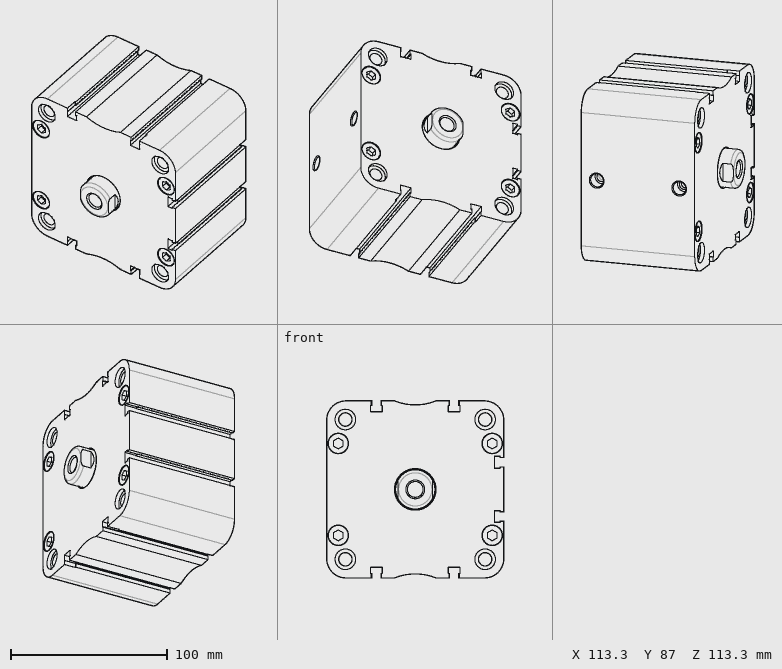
import cadquery as cq
import math

side = 113.3
half = side / 2
body_length = 77.0
rod_reach = 10.0
corner_radius = 12.5
body_front = -body_length / 2
body_back = body_length / 2
overcut = 1.1

hollow_half_width = 13.4
hollow_depth = 2.6

slot_mouth_width = 5.9
slot_undercut_width = 7.3
top_slot_offset = 24.8
top_slot_depth = 6.9
top_slot_lip = 3.1
side_slot_offset = 17.3
side_slot_depth = 5.9
side_slot_lip = 2.5

relief_length = 8.2
relief_width = 0.6

mount_offset = 44.6
mount_diameter = 8.4
mount_recess_diameter = 13.1
mount_recess_depth = 2.7

screw_x = 49.2
screw_z = 29.3
screw_hole_diameter = 13.1
screw_head_diameter = 12.7
screw_head_recess = 0.5
screw_gap_depth = 1.7
hex_across_flats = 6.0
hex_depth = 4.4

port_end_distance = 10.5
port_mouth_diameter = 10.0
port_diameter = 8.6
port_depth = 9.1
port_bore_diameter = 6.0
port_bore_depth = 12.5

rod_diameter = 25.0
rod_fillet = 1.9
rod_flat_half_width = 11.0
rod_flat_start = 2.7
rod_thread_diameter = 10.1
rod_thread_mouth_diameter = 12.0
rod_thread_depth = 20.4
drill_tip_angle = 118.0
wiper_diameter = 25.5
wiper_mouth_diameter = 26.6
wiper_depth = 2.3


def front_disc(diameter, depth, x=0.0, z=0.0):
    """A cylinder that reaches back from the front face."""
    return cq.Workplane("XZ", origin=(x, body_front, z)).circle(diameter / 2).extrude(-depth)


def cone_y(diameter_start, diameter_end, y_start, length):
    """A cone on the rod axis, running toward +Y."""
    start = cq.Vector(0, y_start, 0)
    axis = cq.Vector(0, 1, 0)
    return cq.Workplane(cq.Solid.makeCone(diameter_start / 2, diameter_end / 2, length, start, axis))


def make_block():
    block = cq.Workplane("XY").box(side, body_length, side).edges("|Y").fillet(corner_radius)
    hollow = (
        cq.Workplane("XZ", origin=(0, body_back, 0))
        .moveTo(-hollow_half_width, half)
        .threePointArc((0, half - hollow_depth), (hollow_half_width, half))
        .close()
        .extrude(body_length)
    )
    return block.cut(hollow).cut(hollow.mirror("XY"))


def slot_box(x_min, x_max, depth_min, depth_max, length):
    """A box below the upper face that starts at the front face."""
    box = cq.Workplane("XY").box(x_max - x_min, length, depth_max - depth_min, centered=False)
    return box.translate((x_min, body_front, half - depth_max))


def slot_cutter(center, depth, lip):
    mouth = slot_mouth_width / 2
    undercut = slot_undercut_width / 2
    cutter = slot_box(center - mouth, center + mouth, -overcut, depth, body_length)
    return cutter.union(slot_box(center - undercut, center + undercut, lip, depth, body_length))


def cut_slots(body):
    top_slot = slot_cutter(top_slot_offset, top_slot_depth, top_slot_lip)
    mouth_edge = top_slot_offset + slot_mouth_width / 2
    relief = slot_box(mouth_edge, mouth_edge + relief_width, -overcut, top_slot_lip, relief_length)
    top_slot = top_slot.union(relief)
    top_pair = top_slot.union(top_slot.mirror("YZ"))
    body = body.cut(top_pair).cut(top_pair.mirror("XY"))

    side_slot = slot_cutter(-side_slot_offset, side_slot_depth, side_slot_lip)
    undercut = (slot_undercut_width + relief_width) / 2
    x_min = -side_slot_offset - undercut
    x_max = -side_slot_offset + undercut
    relief = slot_box(x_min, x_max, side_slot_lip, side_slot_depth, relief_length)
    side_slot = side_slot.union(relief).rotate((0, 0, 0), (0, 1, 0), 90)
    return body.cut(side_slot).cut(side_slot.mirror("XY"))


def cut_mount_holes(body):
    for x in (-mount_offset, mount_offset):
        for z in (-mount_offset, mount_offset):
            body = body.cut(front_disc(mount_diameter, body_length, x, z))
            body = body.cut(front_disc(mount_recess_diameter, mount_recess_depth, x, z))
    return body


def cut_screws(body):
    for x in (-screw_x, screw_x):
        for z in (-screw_z, screw_z):
            gap = front_disc(screw_hole_diameter, screw_gap_depth, x, z)
            head = front_disc(screw_head_diameter, screw_gap_depth, x, z)
            gap = gap.cut(head.translate((0, screw_head_recess, 0)))
            socket = (
                cq.Workplane("XZ", origin=(x, body_front, z))
                .transformed(rotate=(0, 0, 90))
                .polygon(6, hex_across_flats / math.cos(math.pi / 6))
                .extrude(-hex_depth)
            )
            body = body.cut(gap).cut(socket)
    return body


def cut_ports(body):
    port_chamfer = (port_mouth_diameter - port_diameter) / 2
    port_profile = [
        (0, 0),
        (port_mouth_diameter / 2, 0),
        (port_diameter / 2, port_chamfer),
        (port_diameter / 2, port_depth),
        (port_bore_diameter / 2, port_depth),
        (port_bore_diameter / 2, port_bore_depth),
        (0, port_bore_depth),
    ]
    port = cq.Workplane("XY").polyline(port_profile).close().revolve(360, (0, 0), (0, 1))
    port = port.rotate((0, 0, 0), (0, 0, 1), -90)
    for y in (body_front + port_end_distance, body_back - port_end_distance):
        body = body.cut(port.translate((-half, y, 0)))

    rear_bore = (
        cq.Workplane("YZ", origin=(-half + port_depth, body_back - port_end_distance, 0))
        .circle(port_bore_diameter / 2)
        .extrude(half - port_depth)
    )
    core = front_disc(rod_diameter, body_length)
    return body.cut(rear_bore.cut(core))


def cut_wiper_seat(body):
    chamfer = (wiper_mouth_diameter - wiper_diameter) / 2
    body = body.cut(cone_y(wiper_mouth_diameter, wiper_diameter, body_front, chamfer))
    return body.cut(front_disc(wiper_diameter, wiper_depth))


def make_rod():
    rod_end = body_front - rod_reach
    end_plane = cq.Workplane("XZ", origin=(0, rod_end, 0))
    rod = end_plane.circle(rod_diameter / 2).extrude(-rod_reach - wiper_depth)
    rod = rod.faces("<Y").edges().fillet(rod_fillet)

    flat_root = body_front - rod_flat_start
    outside = rod_diameter / 2 + overcut
    run_out = outside - rod_flat_half_width
    flat = (
        cq.Workplane("XY")
        .polyline([
            (rod_flat_half_width, rod_end - overcut),
            (outside, rod_end - overcut),
            (outside, flat_root + run_out),
            (rod_flat_half_width, flat_root),
        ])
        .close()
        .extrude(rod_diameter / 2, both=True)
    )
    rod = rod.cut(flat).cut(flat.mirror("YZ"))

    chamfer = (rod_thread_mouth_diameter - rod_thread_diameter) / 2
    tip_length = rod_thread_diameter / 2 / math.tan(math.radians(drill_tip_angle / 2))
    hole = end_plane.circle(rod_thread_diameter / 2).extrude(-rod_thread_depth)
    hole = hole.union(cone_y(rod_thread_mouth_diameter, rod_thread_diameter, rod_end, chamfer))
    hole = hole.union(cone_y(rod_thread_diameter, 0, rod_end + rod_thread_depth, tip_length))
    return rod, hole


body = make_block()
body = cut_slots(body)
body = cut_mount_holes(body)
body = cut_screws(body)
body = cut_ports(body)
body = cut_wiper_seat(body)
rod, rod_hole = make_rod()
result = body.union(rod).cut(rod_hole)